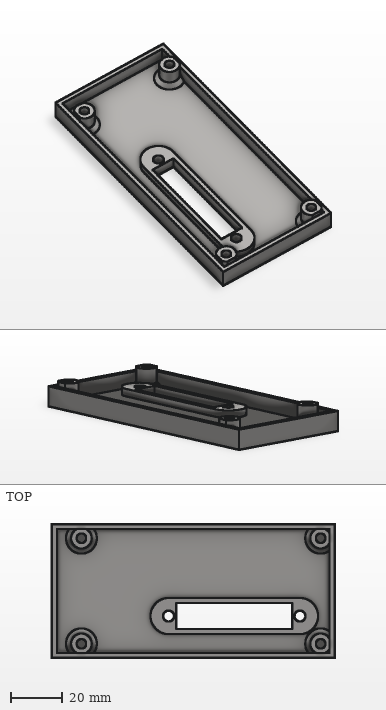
import cadquery as cq

length = 110.0
width = 52.0
body_height = 8.0
wall = 2.0
floor = 2.0

post_top = 10.0
post_diameter = 8.0
post_hole_diameter = 3.7
post_base_diameter = 12.0
post_base_height = 2.0
post_inset_y = 5.5
post_left_x = 11.5
post_right_x = 104.5

frame_center = (71.0, 16.3)
frame_width = 14.1
frame_height = 3.0
frame_hole_spacing = 51.0
frame_hole_diameter = 4.2
window_length = 45.0
window_width = 10.0

frame_top = floor + frame_height
post_positions = [
    (x, y)
    for x in (post_left_x, post_right_x)
    for y in (post_inset_y, width - post_inset_y)
]


def box_from_corner(x_size, y_size, z_size):
    return cq.Workplane("XY").box(x_size, y_size, z_size, centered=False)


def make_cavity():
    """Inner space of the tray, continued up to the post tops."""
    cavity = box_from_corner(length - 2 * wall, width - 2 * wall, post_top - floor)
    return cavity.translate((wall, wall, floor))


def make_post(position):
    """Solid post with a conical foot standing on the floor."""
    post_radius = post_diameter / 2
    base_radius = post_base_diameter / 2
    profile = [
        (0, floor),
        (base_radius, floor),
        (post_radius, floor + post_base_height),
        (post_radius, post_top),
        (0, post_top),
    ]
    post = cq.Workplane("XZ").polyline(profile).close().revolve(360, (0, 0), (0, 1))
    return post.translate((position[0], position[1], 0))


def make_frame():
    """Round-ended pad that carries the window and its two screw holes."""
    frame = cq.Workplane("XY").workplane(offset=floor).center(*frame_center)
    return frame.slot2D(frame_hole_spacing + frame_width, frame_width).extrude(frame_height)


cavity = make_cavity()
tray = box_from_corner(length, width, body_height).cut(cavity)

for position in post_positions:
    tray = tray.union(make_post(position).intersect(cavity))

tray = tray.union(make_frame())

post_holes = (
    cq.Workplane("XY").workplane(offset=floor)
    .pushPoints(post_positions)
    .circle(post_hole_diameter / 2)
    .extrude(post_top - floor)
)

frame_plane = cq.Workplane("XY").center(*frame_center)
window = frame_plane.rect(window_length, window_width).extrude(frame_top)
frame_holes = (
    frame_plane
    .pushPoints([(-frame_hole_spacing / 2, 0), (frame_hole_spacing / 2, 0)])
    .circle(frame_hole_diameter / 2)
    .extrude(frame_top)
)

result = tray.cut(post_holes).cut(window).cut(frame_holes)